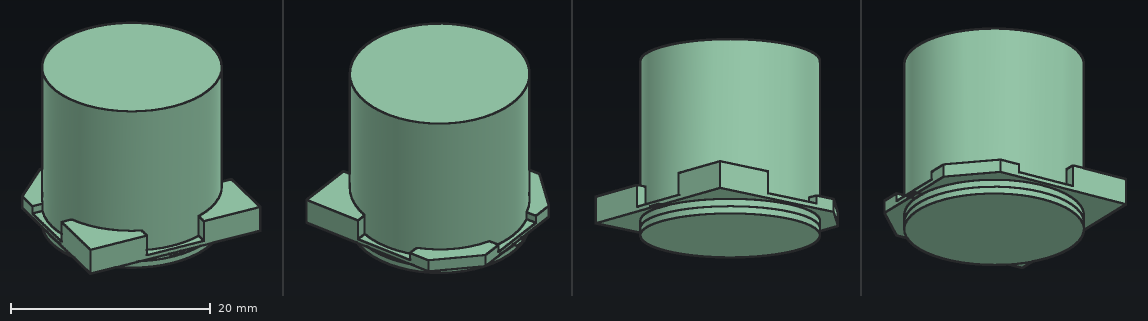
import cadquery as cq

overall_length = 20.0
overall_height = 18.0
can_diameter = 18.0

seal_height = 0.75

base_width = 19.1
base_bottom = 1.5
base_chamfer = 4.1
notch_floor = 2.0
low_corner_top = 2.85
high_corner_top = 4.25
notch_width = 6.4

terminal_width = 1.28
terminal_thickness = 0.05


def make_seal():
    """Round disc that closes the bottom of the can."""
    return cq.Workplane("XY").circle(can_diameter / 2).extrude(seal_height)


def make_can():
    """Plain cylinder standing on the seal."""
    can = cq.Workplane("XY").workplane(offset=seal_height)
    return can.circle(can_diameter / 2).extrude(overall_height - seal_height)


def make_base():
    """Collar with chamfered low corners at -X, tall corners at +X and a notch in each side."""
    collar_height = high_corner_top - base_bottom
    collar = (
        cq.Workplane("XY")
        .workplane(offset=base_bottom)
        .rect(base_width, base_width)
        .extrude(collar_height)
        .edges("|Z and <X")
        .chamfer(base_chamfer)
    )

    low_half = (
        cq.Workplane("XY")
        .workplane(offset=low_corner_top)
        .center(-base_width / 4, 0)
        .rect(base_width / 2, base_width)
        .extrude(high_corner_top - low_corner_top)
    )
    collar = collar.cut(low_half)

    for length, width in ((base_width, notch_width), (notch_width, base_width)):
        notch = (
            cq.Workplane("XY")
            .workplane(offset=notch_floor)
            .rect(length, width)
            .extrude(high_corner_top - notch_floor)
        )
        collar = collar.cut(notch)

    can_hole = (
        cq.Workplane("XY")
        .workplane(offset=base_bottom)
        .circle(can_diameter / 2)
        .extrude(collar_height)
    )
    return collar.cut(can_hole).solids()


def make_terminal(side):
    """Strip under the base from the can wall outwards; side is -1 for -X, +1 for +X."""
    strip = (
        cq.Workplane("XY")
        .workplane(offset=base_bottom - terminal_thickness)
        .center(side * overall_length / 4, 0)
        .rect(overall_length / 2, terminal_width)
        .extrude(terminal_thickness)
    )
    return strip.cut(make_can()).solids()


seal = make_seal()
can = make_can()
base = make_base()
terminals = [make_terminal(side) for side in (-1, 1)]

result = cq.Compound.makeCompound(
    [seal.val(), can.val(), base.val(), *[terminal.val() for terminal in terminals]]
)